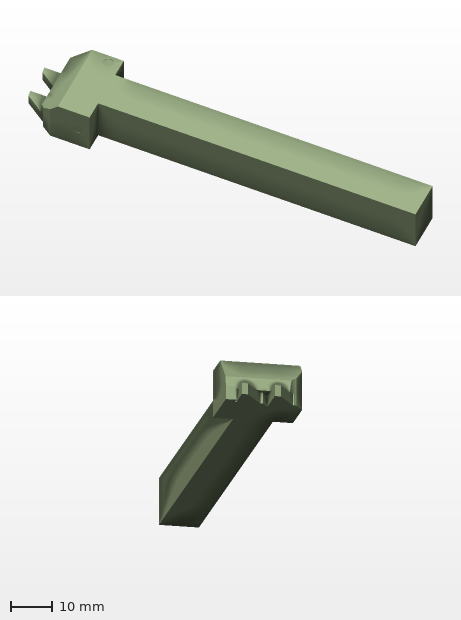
import cadquery as cq
import math

total_length = 105.0
head_end = 20.0
head_width = 20.0
height = 12.0
shank_width = 10.0

nose_front = 4.9
nose_face_top = 3.5
nose_lip = 0.6
bevel_bottom = 6.1
bevel_drop = height - bevel_bottom

tooth_height = 2.8
tooth_crest = 1.6
crest_setback = 0.2
tooth_pitch = 8.2
first_crest_bottom = 7.2
last_crest_bottom = first_crest_bottom + tooth_pitch
flank_slope = 0.7
flank_end = 6.5
root_flat = 0.6
back_slot_width = 0.3
corner_relief_end = 6.3
corner_relief_depth = 0.4

corner_x = 6.5
corner_y = 2.0
corner_chamfer_end = 9.3
corner_radius = 4.1

mark_diameter = 2.5
mark_depth = 0.1
mark_x = 16.8
front_mark_z = height / 2
top_mark_y = 17.8


def flank_y(crest_bottom, x):
    """Y of a tooth's sloped flank at distance x from the tip."""
    return crest_bottom - flank_slope * (x - crest_setback)


def make_shank():
    return cq.Workplane("XY").box(
        total_length - head_end, shank_width, height, centered=(False, True, False)
    ).translate((head_end, head_width / 2, 0))


def make_head():
    """Side profile swept across the width, trimmed to the plan outline."""
    bevel_front = nose_front + nose_lip
    side = (
        cq.Workplane("XZ")
        .moveTo(nose_front, 0)
        .lineTo(nose_front, nose_face_top)
        .lineTo(bevel_front, bevel_bottom)
        .lineTo(bevel_front + bevel_drop, height)
        .lineTo(head_end, height)
        .lineTo(head_end, 0)
        .close()
        .extrude(-head_width)
    )
    plan = (
        cq.Workplane("XY")
        .moveTo(nose_front, head_width)
        .lineTo(nose_front, flank_y(first_crest_bottom, nose_front))
        .radiusArc((corner_x, corner_y), corner_radius)
        .lineTo(corner_chamfer_end, 0)
        .lineTo(head_end, 0)
        .lineTo(head_end, head_width)
        .close()
        .extrude(height)
    )
    return side.intersect(plan)


def make_tooth(crest_bottom):
    """Prism with a straight back and a sloped flank, rooted in the head."""
    crest_top = crest_bottom + tooth_crest
    return (
        cq.Workplane("XY")
        .moveTo(0, crest_top)
        .lineTo(crest_setback, crest_bottom)
        .lineTo(flank_end, flank_y(crest_bottom, flank_end))
        .lineTo(flank_end, crest_top)
        .close()
        .extrude(tooth_height)
    )


def make_gullet():
    """Pocket under the nose between the two teeth."""
    back_y = first_crest_bottom + tooth_crest
    root_y = flank_y(last_crest_bottom, flank_end)
    relief_y = root_y - root_flat
    return (
        cq.Workplane("XY")
        .moveTo(nose_front, back_y)
        .lineTo(nose_front, flank_y(last_crest_bottom, nose_front))
        .lineTo(flank_end, root_y)
        .lineTo(flank_end, relief_y)
        .lineTo(flank_end + (relief_y - back_y) / flank_slope, back_y)
        .close()
        .extrude(tooth_height)
    )


def make_corner_relief():
    """Wedge that clears the rounded corner below the first tooth's flank."""
    flank_angle = math.atan(flank_slope)
    end_y = flank_y(first_crest_bottom, corner_relief_end)
    outer_x = corner_relief_end - corner_relief_depth * math.sin(flank_angle)
    outer_y = end_y - corner_relief_depth * math.cos(flank_angle)
    return (
        cq.Workplane("XY")
        .moveTo(nose_front, flank_y(first_crest_bottom, nose_front))
        .lineTo(corner_relief_end, end_y)
        .lineTo(outer_x, outer_y)
        .close()
        .extrude(tooth_height)
    )


def make_back_slot():
    """Narrow gap between the back of the last tooth and the head."""
    back_y = last_crest_bottom + tooth_crest
    return cq.Workplane("XY").box(
        flank_end - nose_front, back_slot_width, tooth_height, centered=False
    ).translate((nose_front, back_y, 0))


def make_front_mark():
    return (
        cq.Workplane("XZ")
        .center(mark_x, front_mark_z)
        .circle(mark_diameter / 2)
        .extrude(-mark_depth)
    )


def make_top_mark():
    return (
        cq.Workplane("XY", origin=(mark_x, top_mark_y, height))
        .circle(mark_diameter / 2)
        .extrude(-mark_depth)
    )


result = make_head().union(make_shank())
for void in (make_gullet(), make_corner_relief(), make_back_slot()):
    result = result.cut(void)
for crest_bottom in (first_crest_bottom, last_crest_bottom):
    result = result.union(make_tooth(crest_bottom))
result = result.cut(make_front_mark()).cut(make_top_mark())